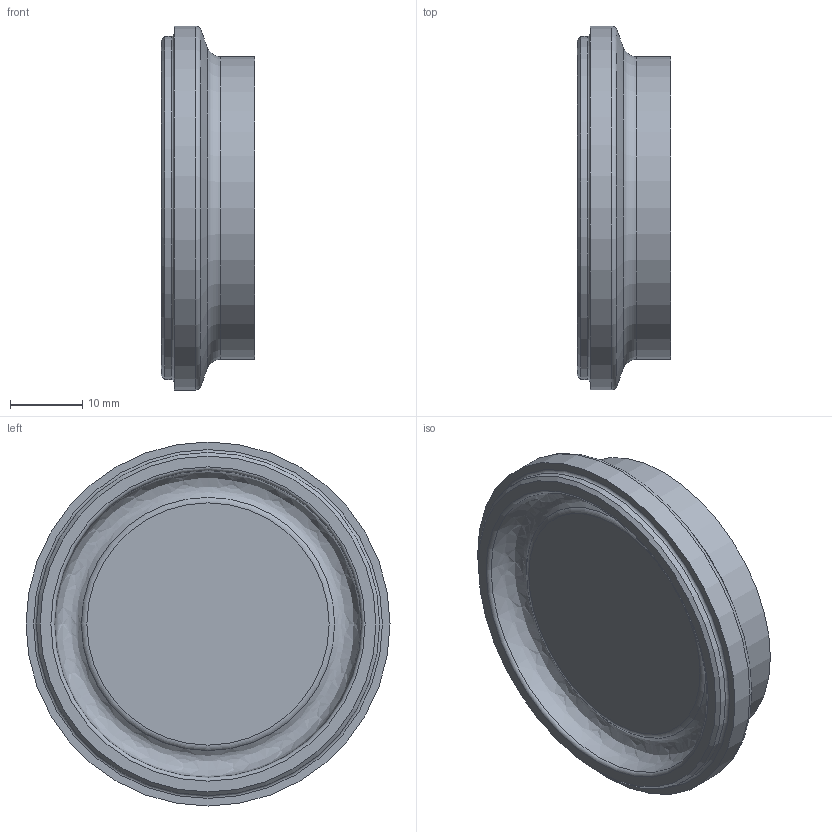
import cadquery as cq
import math

total_length = 13.0

lip_radius = 47.6 / 2
lip_chamfer = 0.5
lip_root_fillet = 0.4

flange_radius = 50.5 / 2
flange_front = 1.8
flange_edge_round = 0.8
flange_round_start = 4.75

barrel_radius = 42.0 / 2
cone_angle = math.radians(20)
barrel_root_fillet = 2.0

rim_round = 0.5
recess_radius = 21.3
groove_bottom_depth = 4.4
groove_bottom_radius = 19.3
pad_depth = 3.4
pad_face_radius = 16.8
pad_edge_round = 1.0
pad_edge_turn = math.radians(50)


def arc_point(center, radius, angle):
    """Point (x, r) on a circle; the angle runs from +X toward the radial direction."""
    return (center[0] + radius * math.cos(angle), center[1] + radius * math.sin(angle))


def add_arc(outline, center, radius, start, end):
    """Continue the outline, already at the start of the arc, along the arc."""
    middle = arc_point(center, radius, (start + end) / 2)
    return outline.threePointArc(middle, arc_point(center, radius, end))


def revolve_about_x(outline):
    return outline.close().revolve(360, (0, 0, 0), (1, 0, 0))


def make_body():
    """Solid of the outer outline: lip, flange, cone and barrel."""
    root_center = (flange_front - lip_root_fillet, lip_radius + lip_root_fillet)
    edge_center = (flange_round_start, flange_radius - flange_edge_round)

    fillet_center_radius = barrel_radius + barrel_root_fillet
    radial_drop = edge_center[1] - fillet_center_radius
    fillet_center_x = (
        edge_center[0]
        + (flange_edge_round + barrel_root_fillet) / math.cos(cone_angle)
        + radial_drop * math.tan(cone_angle)
    )
    fillet_center = (fillet_center_x, fillet_center_radius)

    outline = cq.Workplane("XY").moveTo(0, 0)
    outline = outline.lineTo(0, lip_radius - lip_chamfer)
    outline = outline.lineTo(lip_chamfer, lip_radius)
    outline = outline.lineTo(root_center[0], lip_radius)
    outline = add_arc(outline, root_center, lip_root_fillet, -math.pi / 2, 0)
    outline = outline.lineTo(flange_front, flange_radius)
    outline = outline.lineTo(edge_center[0], flange_radius)
    outline = add_arc(outline, edge_center, flange_edge_round, math.pi / 2, cone_angle)
    cone_end_angle = math.pi + cone_angle
    outline = outline.lineTo(*arc_point(fillet_center, barrel_root_fillet, cone_end_angle))
    outline = add_arc(outline, fillet_center, barrel_root_fillet, cone_end_angle, 1.5 * math.pi)
    outline = outline.lineTo(total_length, barrel_radius).lineTo(total_length, 0)
    return revolve_about_x(outline)


def make_recess():
    """Cutter for the front recess: pad face, ring groove and rounded rim."""
    pad_round_center = (pad_depth + pad_edge_round, pad_face_radius)
    pad_round_end = math.pi - pad_edge_turn
    pad_edge = arc_point(pad_round_center, pad_edge_round, pad_round_end)
    pad_edge_direction = (math.sin(pad_edge_turn), math.cos(pad_edge_turn))
    groove_bottom = (groove_bottom_depth, groove_bottom_radius)
    rim_center = (rim_round, recess_radius + rim_round)
    rim_edge = (rim_center[0], recess_radius)
    toward_front = (-1, 0)

    outline = cq.Workplane("XY").moveTo(0, 0).lineTo(pad_depth, 0)
    outline = outline.lineTo(pad_depth, pad_face_radius)
    outline = add_arc(outline, pad_round_center, pad_edge_round, math.pi, pad_round_end)
    outline = outline.spline(
        [pad_edge, groove_bottom, rim_edge],
        tangents=[pad_edge_direction, toward_front],
    )
    outline = add_arc(outline, rim_center, rim_round, 1.5 * math.pi, math.pi)
    return revolve_about_x(outline)


result = make_body().cut(make_recess())